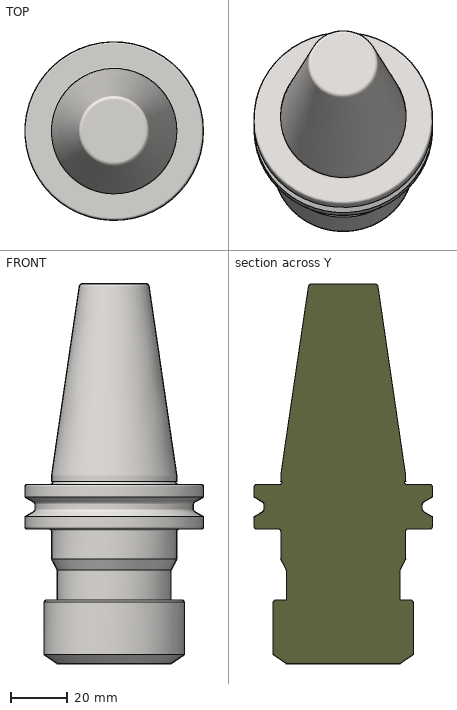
import cadquery as cq

tip_radius = 12.3
gauge_radius = 22.3
relief_radius = 21.9
flange_radius = 63.5 / 2
groove_radius = 56.4 / 2
neck_radius = 20.3
nut_radius = 25.0
nut_face_radius = 20.3

nut_bevel_top = 3.2
nut_top = 22.7
neck_top = 33.3
shoulder_top = 37.2
flange_bottom = 47.9
lower_land_top = 52.3
groove_floor_bottom = 54.4
groove_floor_top = 57.2
upper_land_bottom = 59.2
flange_top = 63.8
gauge_bottom = 64.8
gauge_top = 67.0
total_height = 135.2

nut_chamfer = 0.7
flange_fillet = 0.8
groove_fillet = 1.0
body_fillet = 0.8
relief_fillet = 0.8
tip_fillet = 1.4

profile = [
    (0, 0),
    (nut_face_radius, 0),
    (nut_radius, nut_bevel_top),
    (nut_radius, nut_top - nut_chamfer),
    (nut_radius - nut_chamfer, nut_top),
    (neck_radius, nut_top),
    (neck_radius, neck_top),
    (gauge_radius, shoulder_top),
    (gauge_radius, flange_bottom),
    (flange_radius, flange_bottom),
    (flange_radius, lower_land_top),
    (groove_radius, groove_floor_bottom),
    (groove_radius, groove_floor_top),
    (flange_radius, upper_land_bottom),
    (flange_radius, flange_top),
    (relief_radius, flange_top),
    (relief_radius, gauge_bottom),
    (gauge_radius, gauge_bottom),
    (gauge_radius, gauge_top),
    (tip_radius, total_height),
    (0, total_height),
]

holder = cq.Workplane("XZ").polyline(profile).close().revolve(360, (0, 0, 0), (0, 1, 0))


def fillet_ring(body, radius, height, fillet_radius):
    """Round the circular edge of the given radius at the given height."""
    tolerance = 0.001

    def is_ring(edge):
        if edge.geomType() != "CIRCLE":
            return False
        same_height = abs(edge.Center().z - height) < tolerance
        return same_height and abs(edge.radius() - radius) < tolerance

    ring = [edge for edge in body.edges().vals() if is_ring(edge)]
    return body.newObject(ring).fillet(fillet_radius)


rounded_rings = [
    (gauge_radius, flange_bottom, body_fillet),
    (flange_radius, flange_bottom, flange_fillet),
    (groove_radius, groove_floor_bottom, groove_fillet),
    (groove_radius, groove_floor_top, groove_fillet),
    (flange_radius, flange_top, flange_fillet),
    (relief_radius, flange_top, relief_fillet),
    (tip_radius, total_height, tip_fillet),
]

for ring_radius, ring_height, ring_fillet in rounded_rings:
    holder = fillet_ring(holder, ring_radius, ring_height, ring_fillet)

result = holder